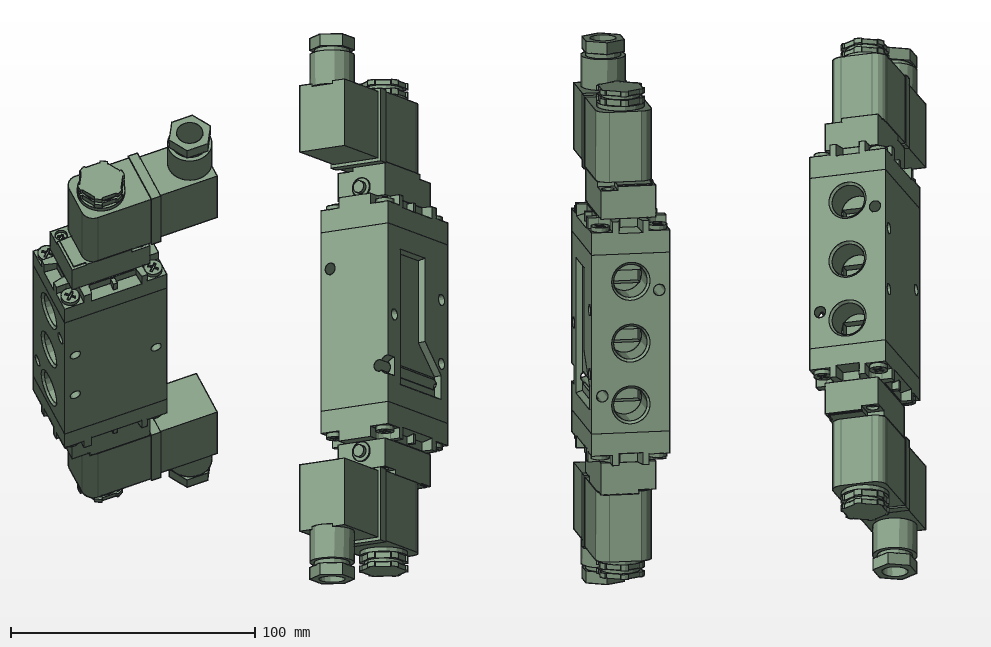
import cadquery as cq
import math


BODY_WIDTH = 32.5
BODY_DEPTH = 45.5
BODY_HALF_HEIGHT = 37.5
OVERALL_HALF_HEIGHT = 114.0
OVERALL_BACK = 72.0

CAP_HEIGHT = 13.7
PILOT_HEIGHT = 14.0
CAP_TOP = BODY_HALF_HEIGHT + CAP_HEIGHT
PILOT_TOP = CAP_TOP + PILOT_HEIGHT
HALF_WIDTH = BODY_WIDTH / 2

PORT_PITCH = 26.0
PORT_DIAMETER = 14.0
PORT_MOUTH_DIAMETER = 16.0
PORT_CHAMFER = (PORT_MOUTH_DIAMETER - PORT_DIAMETER) / 2
PORT_DEPTH = 13.7
PORT_SLOT_WIDTH = 12.8
PORT_SLOT_HEIGHT = 5.5
PORT_SLOT_DEPTH = 4.5
OUTER_SLOT_SHIFT = 1.1

FACE_HOLE_DIAMETER = 4.8
FACE_HOLE_X = 11.9
FACE_HOLE_Z = 21.9

SIDE_HOLE_DIAMETER = 4.5
SIDE_HOLE_INSET = 4.8
SIDE_HOLE_Z = 13.5

RECESS_DEPTH = 2.7
RECESS_HALF_HEIGHT = 28.5
RECESS_BACK = 36.0
RECESS_UPPER_FRONT = 17.3
RECESS_LOWER_FRONT = 5.0
RECESS_SLOPE_TOP = -6.5
RECESS_SLOPE_BOTTOM = -18.5
RECESS_WALL_SLANT = 1.0

GROOVE_Z = -21.9
GROOVE_RADIUS = 2.5
GROOVE_END_GAP = 1.0
CABLE_NOTCH_RADIUS = 3.9
CABLE_NOTCH_LENGTH = 5.0

CORNER_POCKET_SIZE = 8.7
CORNER_POCKET_DEPTH = 4.3
CORNER_POCKET_RADIUS = CORNER_POCKET_SIZE / 2
CAP_SCREW_DIAMETER = 7.5
CAP_SCREW_HEIGHT = 1.8
CROSS_SLOT_WIDTH = 1.0
CROSS_SLOT_DEPTH = 1.0
CROSS_SLOT_RATIO = 0.6

POCKET_INNER_DEPTH = 3.6
POCKET_OUTER_DEPTH = 5.0
FRONT_POCKET_REACH = 5.2
FRONT_POCKET_OUTER_WIDTH = 10.0
FRONT_POCKET_INNER_WIDTH = 7.3
SIDE_POCKET_REACH = 4.3
SIDE_POCKET_OUTER_LENGTH = 22.3
SIDE_POCKET_INNER_LENGTH = 21.0
SIDE_POCKET_Y = 23.2
POCKET_RIB_WIDTH = 1.8
POCKET_RIB_LENGTH = 3.0
POCKET_RIB_HEIGHT = 4.3

PILOT_WIDTH = 22.8
PILOT_FRONT = 5.5
PILOT_BACK = 40.0
NOTCH_WIDTH = 7.0
NOTCH_LENGTH = 8.0
NOTCH_DEPTH = 2.0
PILOT_SCREW_DIAMETER = 5.0
PILOT_SCREW_INSET = 3.5
PILOT_SCREW_RECESS = 1.4
LEDGE_WIDTH = 1.1
LEDGE_DEPTH = 0.5
OVERRIDE_Z = 55.5
OVERRIDE_FLANGE_DIAMETER = 8.2
OVERRIDE_FLANGE_THICKNESS = 0.7
OVERRIDE_BUTTON_DIAMETER = 5.0
OVERRIDE_BUTTON_PROJECTION = 2.5

COIL_WIDTH = 23.2
COIL_FRONT = 11.9
COIL_TOP = 94.5
COIL_CORNER_RADIUS = 5.0
GASKET_FRONT = 40.5
GASKET_BACK = 44.7
GASKET_WIDTH = 24.2
GASKET_LIP = 0.7
CONNECTOR_BACK = 70.5
CONNECTOR_WIDTH = 21.7
CONNECTOR_TOP = 94.0
CONNECTOR_BOTTOM = 65.9

NUT_CORNERS = 18.5
NUT_HEIGHT = 5.0
GLAND_Y = OVERALL_BACK - NUT_CORNERS / 2
GLAND_DIAMETER = 18.2
GLAND_BOTTOM = 92.8
GLAND_TOP = 106.9
GLAND_NECK_DIAMETER = 14.5
CABLE_HOLE_DIAMETER = 10.7

KNOB_Y = 23.2
KNOB_COLLAR_DIAMETER = 19.5
KNOB_COLLAR_TOP = 96.5
KNOB_TIP_DIAMETER = 19.8
KNOB_FLATS = 17.0
KNOB_TOOTH_WIDTH = 3.2
KNOB_WAIST_DIAMETER = 16.0
KNOB_LOWER_TOP = 99.0
KNOB_WAIST_TOP = 100.5
KNOB_TOP = 102.5

HEX_ROUND_RATIO = 1 / math.cos(math.pi / 6)


def block(x_range, y_range, z_range):
    """Box between the given pairs of limits."""
    sizes = [high - low for low, high in (x_range, y_range, z_range)]
    corner = (x_range[0], y_range[0], z_range[0])
    return cq.Workplane().box(*sizes, centered=False).translate(corner)


def disc(x, y, diameter, bottom, top):
    """Upright cylinder."""
    return cq.Workplane(origin=(x, y, bottom)).circle(diameter / 2).extrude(top - bottom)


def hexagon(y, corners, bottom, top):
    """Upright hexagonal prism on X = 0 with corners toward +Y and -Y."""
    prism = cq.Workplane().polygon(6, corners).extrude(top - bottom)
    return prism.rotate((0, 0, 0), (0, 0, 1), 90).translate((0, y, bottom))


def rod_along_y(x, z, diameter, front, back):
    """Cylinder along Y from front to back."""
    plane = cq.Plane(origin=(x, front, z), xDir=(1, 0, 0), normal=(0, 1, 0))
    return cq.Workplane(plane).circle(diameter / 2).extrude(back - front)


def screw_head(x, y, diameter, bottom, top):
    """Cylindrical head with a diagonal cross slot."""
    head = disc(x, y, diameter, bottom, top)
    for angle in (45, -45):
        slot = cq.Workplane().rect(diameter * CROSS_SLOT_RATIO, CROSS_SLOT_WIDTH).extrude(CROSS_SLOT_DEPTH)
        slot = slot.rotate((0, 0, 0), (0, 0, 1), angle)
        head = head.cut(slot.translate((x, y, top - CROSS_SLOT_DEPTH)))
    return head



def port(z, slot_shift):
    """Threaded port with a chamfered mouth and a slot in its floor that leads to the spool."""
    bore = rod_along_y(0, z, PORT_DIAMETER, 0, PORT_DEPTH)
    plane = cq.Plane(origin=(0, 0, z), xDir=(1, 0, 0), normal=(0, 1, 0))
    mouth = cq.Workplane(plane).circle(PORT_MOUTH_DIAMETER / 2)
    mouth = mouth.workplane(offset=PORT_CHAMFER).circle(PORT_DIAMETER / 2).loft()
    slot_z = z + slot_shift
    slot = block(
        (-PORT_SLOT_WIDTH / 2, PORT_SLOT_WIDTH / 2),
        (PORT_DEPTH, PORT_DEPTH + PORT_SLOT_DEPTH),
        (slot_z - PORT_SLOT_HEIGHT / 2, slot_z + PORT_SLOT_HEIGHT / 2),
    )
    return bore.union(mouth).union(slot)


def recess_outline(x, inset):
    """Outline of the side recess; all walls but the back one move in by the inset."""
    plane = cq.Plane(origin=(x, 0, 0), xDir=(0, 1, 0), normal=(1, 0, 0))
    half_height = RECESS_HALF_HEIGHT - inset
    upper_front = RECESS_UPPER_FRONT + inset
    lower_front = RECESS_LOWER_FRONT + inset
    slope_run = RECESS_UPPER_FRONT - RECESS_LOWER_FRONT
    slope_angle = math.atan2(slope_run, RECESS_SLOPE_TOP - RECESS_SLOPE_BOTTOM)
    slope_drop = inset * math.tan(slope_angle / 2)
    return cq.Workplane(plane).polyline([
        (RECESS_BACK, half_height),
        (upper_front, half_height),
        (upper_front, RECESS_SLOPE_TOP - slope_drop),
        (lower_front, RECESS_SLOPE_BOTTOM - slope_drop),
        (lower_front, -half_height),
        (RECESS_BACK, -half_height),
    ]).close()


def side_recess():
    """Shallow slant-walled recess in the -X face with a round groove across its lower end."""
    outer_wire = recess_outline(-HALF_WIDTH, 0).wires().val()
    floor_wire = recess_outline(-HALF_WIDTH + RECESS_DEPTH, RECESS_WALL_SLANT).wires().val()
    recess = cq.Workplane(cq.Solid.makeLoft([outer_wire, floor_wire], True))
    groove = rod_along_y(
        -HALF_WIDTH + RECESS_DEPTH,
        GROOVE_Z,
        2 * GROOVE_RADIUS,
        RECESS_LOWER_FRONT + RECESS_WALL_SLANT,
        RECESS_BACK - GROOVE_END_GAP,
    )
    return recess.union(groove)


def make_body():
    body = block((-HALF_WIDTH, HALF_WIDTH), (0, BODY_DEPTH), (-BODY_HALF_HEIGHT, BODY_HALF_HEIGHT))
    for step in (-1, 0, 1):
        body = body.cut(port(step * PORT_PITCH, -step * OUTER_SLOT_SHIFT))
    for side in (-1, 1):
        body = body.cut(rod_along_y(side * FACE_HOLE_X, side * FACE_HOLE_Z, FACE_HOLE_DIAMETER, 0, BODY_DEPTH))
    side_holes = [
        (SIDE_HOLE_INSET, SIDE_HOLE_Z),
        (SIDE_HOLE_INSET, -SIDE_HOLE_Z),
        (BODY_DEPTH - SIDE_HOLE_INSET, 0),
    ]
    drills = cq.Workplane("YZ", origin=(-HALF_WIDTH, 0, 0)).pushPoints(side_holes)
    body = body.cut(drills.circle(SIDE_HOLE_DIAMETER / 2).extrude(BODY_WIDTH))
    body = body.cut(side_recess())
    notch_front = BODY_DEPTH - CABLE_NOTCH_LENGTH
    return body.cut(rod_along_y(-HALF_WIDTH, GROOVE_Z, 2 * CABLE_NOTCH_RADIUS, notch_front, BODY_DEPTH))



def corner_pocket(x_side, y_side):
    """Pocket open to both sides of one cap corner, rounded toward the middle of the cap."""
    size = CORNER_POCKET_SIZE
    pocket = cq.Workplane().box(size, size, CORNER_POCKET_DEPTH)
    inner_x = "<X" if x_side > 0 else ">X"
    inner_y = "<Y" if y_side > 0 else ">Y"
    return pocket.edges("|Z").edges(inner_x).edges(inner_y).fillet(CORNER_POCKET_RADIUS)


def sloped_pocket(reach, outer_width, inner_width):
    """Pocket with a falling floor, entering a Y = 0 face at X = 0 and Z = CAP_TOP."""
    profile = [
        (0, CAP_TOP),
        (reach, CAP_TOP),
        (reach, CAP_TOP - POCKET_INNER_DEPTH),
        (0, CAP_TOP - POCKET_OUTER_DEPTH),
    ]
    plan = [
        (-outer_width / 2, 0),
        (outer_width / 2, 0),
        (inner_width / 2, reach),
        (-inner_width / 2, reach),
    ]
    wedge = cq.Workplane("YZ").polyline(profile).close().extrude(outer_width / 2, both=True)
    prism = cq.Workplane().polyline(plan).close().extrude(CAP_TOP)
    return wedge.intersect(prism)


def side_pocket(side):
    """Long sloped pocket in the +X or -X face, split by a rib."""
    pocket = sloped_pocket(SIDE_POCKET_REACH, SIDE_POCKET_OUTER_LENGTH, SIDE_POCKET_INNER_LENGTH)
    rib_bottom = CAP_TOP - POCKET_OUTER_DEPTH
    rib = block(
        (-POCKET_RIB_WIDTH / 2, POCKET_RIB_WIDTH / 2),
        (SIDE_POCKET_REACH - POCKET_RIB_LENGTH, SIDE_POCKET_REACH),
        (rib_bottom, rib_bottom + POCKET_RIB_HEIGHT),
    )
    pocket = pocket.cut(rib).rotate((0, 0, 0), (0, 0, 1), side * 90)
    return pocket.translate((side * HALF_WIDTH, SIDE_POCKET_Y, 0))


def make_cap():
    cap = block((-HALF_WIDTH, HALF_WIDTH), (0, BODY_DEPTH), (BODY_HALF_HEIGHT, CAP_TOP))
    cap = cap.cut(sloped_pocket(FRONT_POCKET_REACH, FRONT_POCKET_OUTER_WIDTH, FRONT_POCKET_INNER_WIDTH))
    screw_bottom = CAP_TOP - CORNER_POCKET_DEPTH
    for x_side in (-1, 1):
        cap = cap.cut(side_pocket(x_side))
        for y_side in (-1, 1):
            x = x_side * (HALF_WIDTH - CORNER_POCKET_SIZE / 2)
            y = BODY_DEPTH / 2 + y_side * (BODY_DEPTH - CORNER_POCKET_SIZE) / 2
            pocket = corner_pocket(x_side, y_side)
            cap = cap.cut(pocket.translate((x, y, CAP_TOP - CORNER_POCKET_DEPTH / 2)))
            cap = cap.union(screw_head(x, y, CAP_SCREW_DIAMETER, screw_bottom, screw_bottom + CAP_SCREW_HEIGHT))
    return cap


def pilot_ledge():
    """Shallow ledge around the part of the pilot's top that lies in front of the coil."""
    half_width = PILOT_WIDTH / 2
    z_range = (PILOT_TOP - LEDGE_DEPTH, PILOT_TOP)
    border = block((-half_width, half_width), (PILOT_FRONT, COIL_FRONT), z_range)
    inner_half = half_width - LEDGE_WIDTH
    return border.cut(block((-inner_half, inner_half), (PILOT_FRONT + LEDGE_WIDTH, COIL_FRONT), z_range))


def make_pilot():
    half_width = PILOT_WIDTH / 2
    pilot = block((-half_width, half_width), (PILOT_FRONT, PILOT_BACK), (CAP_TOP, PILOT_TOP))
    notch_floor = PILOT_TOP - NOTCH_DEPTH
    notch = block(
        (-half_width, -half_width + NOTCH_WIDTH),
        (PILOT_FRONT, PILOT_FRONT + NOTCH_LENGTH),
        (notch_floor, PILOT_TOP),
    )
    screw_x = -half_width + PILOT_SCREW_INSET
    screw_y = PILOT_FRONT + PILOT_SCREW_INSET
    screw_top = notch_floor - PILOT_SCREW_RECESS
    counterbore = disc(screw_x, screw_y, PILOT_SCREW_DIAMETER, screw_top - CROSS_SLOT_DEPTH, notch_floor)
    screw = screw_head(screw_x, screw_y, PILOT_SCREW_DIAMETER, screw_top - CROSS_SLOT_DEPTH, screw_top)
    seat = notch.union(counterbore).cut(screw)
    middle_y = (PILOT_FRONT + PILOT_BACK) / 2
    for angle in (0, 180):
        pilot = pilot.cut(seat.rotate((0, middle_y, 0), (0, middle_y, 1), angle))
    pilot = pilot.cut(pilot_ledge())
    flange_back = PILOT_BACK + OVERRIDE_FLANGE_THICKNESS
    button_back = PILOT_BACK + OVERRIDE_BUTTON_PROJECTION
    pilot = pilot.union(rod_along_y(0, OVERRIDE_Z, OVERRIDE_FLANGE_DIAMETER, PILOT_BACK, flange_back))
    return pilot.union(rod_along_y(0, OVERRIDE_Z, OVERRIDE_BUTTON_DIAMETER, flange_back, button_back))


def knob_flange(bottom, top):
    """Hexagonal knob flange with a tooth at each corner."""
    flange = hexagon(KNOB_Y, KNOB_FLATS * HEX_ROUND_RATIO, bottom, top)
    for angle in (0, 60, 120):
        bar = block(
            (-KNOB_TOOTH_WIDTH / 2, KNOB_TOOTH_WIDTH / 2),
            (-KNOB_TIP_DIAMETER, KNOB_TIP_DIAMETER),
            (bottom, top),
        )
        bar = bar.rotate((0, 0, 0), (0, 0, 1), angle).translate((0, KNOB_Y, 0))
        flange = flange.union(bar)
    return flange.intersect(disc(0, KNOB_Y, KNOB_TIP_DIAMETER, bottom, top))


def make_knob():
    """Toothed retaining knob with a narrow waist, on a round collar."""
    knob = disc(0, KNOB_Y, KNOB_COLLAR_DIAMETER, COIL_TOP, KNOB_COLLAR_TOP)
    knob = knob.union(knob_flange(KNOB_COLLAR_TOP, KNOB_LOWER_TOP))
    knob = knob.union(disc(0, KNOB_Y, KNOB_WAIST_DIAMETER, KNOB_LOWER_TOP, KNOB_WAIST_TOP))
    return knob.union(knob_flange(KNOB_WAIST_TOP, KNOB_TOP))


def make_gland():
    """Cable gland: round barrel, neck and hexagonal nut."""
    nut_bottom = OVERALL_HALF_HEIGHT - NUT_HEIGHT
    gland = disc(0, GLAND_Y, GLAND_DIAMETER, GLAND_BOTTOM, GLAND_TOP)
    gland = gland.union(disc(0, GLAND_Y, GLAND_NECK_DIAMETER, GLAND_TOP, nut_bottom))
    return gland.union(hexagon(GLAND_Y, NUT_CORNERS, nut_bottom, OVERALL_HALF_HEIGHT))


def make_solenoid():
    half_coil = COIL_WIDTH / 2
    half_gasket = GASKET_WIDTH / 2
    half_connector = CONNECTOR_WIDTH / 2
    coil = block((-half_coil, half_coil), (COIL_FRONT, GASKET_FRONT), (PILOT_TOP, COIL_TOP))
    coil = coil.edges("|Z and <Y").fillet(COIL_CORNER_RADIUS)
    gasket = block(
        (-half_gasket, half_gasket),
        (GASKET_FRONT, GASKET_BACK),
        (PILOT_TOP - GASKET_LIP, COIL_TOP + GASKET_LIP),
    )
    connector = block(
        (-half_connector, half_connector),
        (GASKET_BACK, CONNECTOR_BACK),
        (CONNECTOR_BOTTOM, CONNECTOR_TOP),
    )
    solenoid = coil.union(gasket).union(connector).union(make_knob()).union(make_gland())
    cable_hole = disc(0, GLAND_Y, CABLE_HOLE_DIAMETER, CONNECTOR_TOP, OVERALL_HALF_HEIGHT)
    return solenoid.cut(cable_hole)



body = make_body()
end_unit = [make_cap(), make_pilot(), make_solenoid()]
end_solids = []
for turn in (0, 180):
    for part in end_unit:
        end_solids.append(part.rotate((0, 0, 0), (0, 1, 0), turn).val())

result = cq.Compound.makeCompound([body.val(), *end_solids])